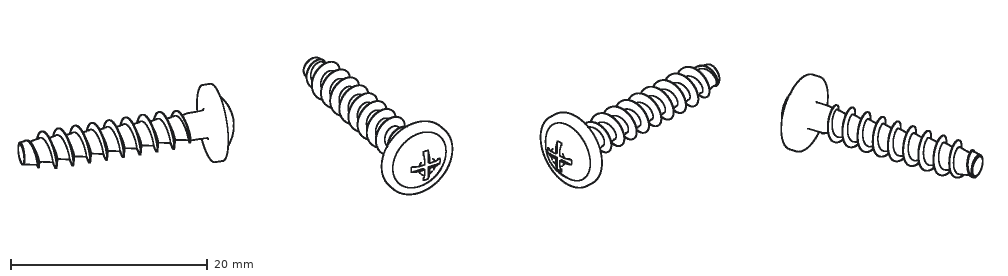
import cadquery as cq
import math


TOTAL_LENGTH = 22.43
HEAD_HEIGHT = 2.45
FLANGE_RADIUS = 8.0 / 2
FLANGE_HEIGHT = 0.95
FLANGE_EDGE_FILLET = 0.1
DOME_BASE_RADIUS = 3.19
DOME_SPHERE_RADIUS = 3.93

SLOT_WIDTH = 0.6
SLOT_DEPTH = 0.27

SHANK_RADIUS = 1.41
SHANK_LENGTH = 1.97
SHANK_TAPER_LENGTH = 1.45
NECK_FILLET = 0.54
TIP_FACE_RADIUS = 1.03
TIP_BEVEL_SLOPE = 0.4
TIP_DEPTH = TOTAL_LENGTH - HEAD_HEIGHT

PITCH = 1.8
CREST_DEPTH_AT_TOP = 2.95
CREST_RADIUS = 2.0
CREST_WIDTH = 0.07
CORE_RADIUS = 1.12
ROOT_BURIAL = 0.011
ROOT_RADIUS = CORE_RADIUS - ROOT_BURIAL
SHOULDER_RADIUS = 1.35
RIB_BASE_WIDTH = 0.5
SEAT_RADIUS = 1.03
CREST_LIFT = 0.055
TURN_GAP = 0.02

RUN_IN_END = 3.85
RUN_IN_SLOPE = 0.24
RUN_OUT_START = 17.32
RUN_OUT_SLOPE = 0.34
STRIP_START = 1.35
STRIP_TURNS = math.ceil((TIP_DEPTH - STRIP_START) / PITCH)
POINTS_PER_TURN = 12


def crest_radius(depth):
    """Crest radius of the rib at a given depth below the bearing face."""
    run_in = RUN_IN_SLOPE * max(0.0, RUN_IN_END - depth)
    run_out = RUN_OUT_SLOPE * max(0.0, depth - RUN_OUT_START)
    return max(CREST_RADIUS - run_in - run_out, CORE_RADIUS + 2 * CREST_LIFT)


def strip_section(depth):
    """Corners (radius, depth) of the thread strip whose crest is at this depth."""
    crest = crest_radius(depth)
    shoulder = min(SHOULDER_RADIUS, crest - CREST_LIFT)
    flank_slope = (RIB_BASE_WIDTH - CREST_WIDTH) / 2 / (CREST_RADIUS - SHOULDER_RADIUS)
    half_crest = CREST_WIDTH / 2
    behind = depth + half_crest + flank_slope * (crest - shoulder)
    ahead = depth - half_crest - flank_slope * (crest - SEAT_RADIUS)
    next_ahead = depth + PITCH - half_crest - flank_slope * (CREST_RADIUS - SEAT_RADIUS) - TURN_GAP
    return [
        (SEAT_RADIUS, ahead),
        (crest, depth - half_crest),
        (crest, depth + half_crest),
        (shoulder, behind),
        (ROOT_RADIUS, next_ahead),
        (SEAT_RADIUS, next_ahead),
    ]


def on_helix(radius, depth, crest_depth):
    """Point of the strip in the half-plane through the axis and its crest."""
    angle = 2 * math.pi * (crest_depth - CREST_DEPTH_AT_TOP) / PITCH
    return cq.Vector(-radius * math.sin(angle), -depth, radius * math.cos(angle))


def strip_turn(start):
    """One turn of the strip: ruled faces between the spirals of the section corners."""
    depths = [start + PITCH * i / POINTS_PER_TURN for i in range(POINTS_PER_TURN + 1)]
    stations = [[on_helix(r, d, depth) for r, d in strip_section(depth)] for depth in depths]
    spirals = [cq.Edge.makeSpline(list(path)) for path in zip(*stations)]
    neighbours = spirals[1:] + spirals[:1]
    faces = [cq.Face.makeRuledSurface(a, b) for a, b in zip(spirals, neighbours)]
    for station in (stations[0], stations[-1]):
        faces.append(cq.Face.makeFromWires(cq.Wire.makePolygon(station, close=True)))
    return cq.Workplane(cq.Solid.makeSolid(cq.Shell.makeShell(faces)))


def cylinder(radius, start, end):
    """Cylinder about the screw axis between two depths."""
    base = cq.Vector(0, -start, 0)
    return cq.Workplane(cq.Solid.makeCylinder(radius, end - start, base, cq.Vector(0, -1, 0)))


def make_head():
    flange = cylinder(FLANGE_RADIUS, -FLANGE_HEIGHT, 0).edges().fillet(FLANGE_EDGE_FILLET)

    centre_y = FLANGE_HEIGHT - math.sqrt(DOME_SPHERE_RADIUS**2 - DOME_BASE_RADIUS**2)
    dome = cq.Workplane("XY").sphere(DOME_SPHERE_RADIUS).translate((0, centre_y, 0))
    dome = dome.intersect(cylinder(DOME_BASE_RADIUS, -HEAD_HEIGHT, -FLANGE_HEIGHT / 2))

    slot_length = 2 * DOME_BASE_RADIUS
    slot_y = HEAD_HEIGHT - SLOT_DEPTH / 2
    slot_x = cq.Workplane("XY").box(slot_length, SLOT_DEPTH, SLOT_WIDTH)
    slot_z = cq.Workplane("XY").box(SLOT_WIDTH, SLOT_DEPTH, slot_length)
    slots = slot_x.union(slot_z).translate((0, slot_y, 0))
    return flange.union(dome).cut(slots)


def make_core():
    """Shank with the fillet under the head, and the core the thread winds around."""
    arc_side = NECK_FILLET * (1 - math.sqrt(0.5))
    return (
        cq.Workplane("XY")
        .moveTo(0, 0)
        .lineTo(SHANK_RADIUS + NECK_FILLET, 0)
        .threePointArc((SHANK_RADIUS + arc_side, -arc_side), (SHANK_RADIUS, -NECK_FILLET))
        .lineTo(SHANK_RADIUS, -SHANK_LENGTH)
        .lineTo(CORE_RADIUS, -SHANK_LENGTH - SHANK_TAPER_LENGTH)
        .lineTo(CORE_RADIUS, -TIP_DEPTH)
        .lineTo(0, -TIP_DEPTH)
        .close()
        .revolve(360, (0, 0, 0), (0, 1, 0))
    )


def make_tip_bevel():
    """Ring that bevels the rim of the tip face."""
    setback = TIP_BEVEL_SLOPE * (CREST_RADIUS - TIP_FACE_RADIUS)
    return (
        cq.Workplane("XY")
        .moveTo(TIP_FACE_RADIUS, -TIP_DEPTH)
        .lineTo(CREST_RADIUS, -TIP_DEPTH)
        .lineTo(CREST_RADIUS, -TIP_DEPTH + setback)
        .close()
        .revolve(360, (0, 0, 0), (0, 1, 0))
    )


def make_threaded_core():
    """Core with the strip wound on turn by turn, trimmed at the shank end and the tip."""
    body = make_core()
    thread_zone = cylinder(2 * CREST_RADIUS, SHANK_LENGTH, TIP_DEPTH)
    for turn in range(STRIP_TURNS):
        body = body.union(strip_turn(STRIP_START + turn * PITCH).intersect(thread_zone))
    return body.cut(make_tip_bevel())


result = make_threaded_core().union(make_head())